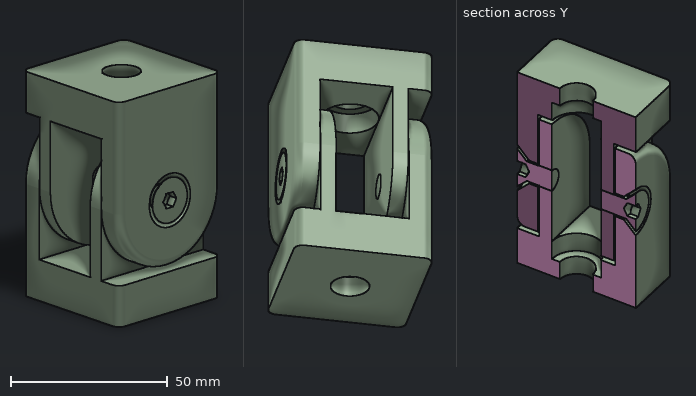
import cadquery as cq
import math

height = 76.0
width = 45.0
half_width = width / 2
half_height = height / 2
corner_radius = 3.0

base_thickness = 14.0
outer_arm_thickness = 8.0
arm_gap = 0.2
inner_arm_thickness = 5.0
inner_arm_outer_x = half_width - outer_arm_thickness - arm_gap
inner_arm_inner_x = inner_arm_outer_x - inner_arm_thickness

mount_hole_diameter = 12.5
mount_counterbore_diameter = 18.5
mount_counterbore_depth = base_thickness / 2

screw_diameter = 8.0
clearance_diameter = 9.0
countersink_diameter = 18.0
countersink_depth = (countersink_diameter - clearance_diameter) / 2
head_diameter = 15.3
head_depth = (head_diameter - screw_diameter) / 2
socket_across_flats = 5.0
socket_across_corners = socket_across_flats / math.cos(math.pi / 6)
socket_depth = 3.0
socket_tip_depth = 1.5


def arm(start_x, thickness):
    """Round-topped plate, centred on the hinge axis and reaching down to the yoke bottom."""
    return (
        cq.Workplane("YZ", origin=(start_x, 0, 0))
        .moveTo(-half_width, -half_height)
        .lineTo(-half_width, 0)
        .threePointArc((0, half_width), (half_width, 0))
        .lineTo(half_width, -half_height)
        .close()
        .extrude(thickness)
    )


def outer_arm():
    """Arm on the -X side with its outside edges rounded, except along the bottom."""
    blank = arm(-half_width, outer_arm_thickness)
    return blank.faces("<X").edges("not <Z").fillet(corner_radius)


def base():
    """Square block with rounded vertical edges."""
    return (
        cq.Workplane("XY", origin=(0, 0, -half_height))
        .rect(width, width)
        .extrude(base_thickness)
        .edges("|Z")
        .fillet(corner_radius)
    )


def inner_arm():
    """Plain arm on the +X side, inset to run beside the other yoke's outer arm."""
    return arm(inner_arm_inner_x, inner_arm_thickness)


def cylinder_x(start_x, diameter, length):
    """Cylinder along the hinge axis."""
    return cq.Workplane("YZ", origin=(start_x, 0, 0)).circle(diameter / 2).extrude(length)


def cone_x(start_x, start_diameter, end_diameter, length):
    """Cone along the hinge axis, running toward +X; an end diameter of zero gives a point."""
    return cq.Workplane(
        cq.Solid.makeCone(
            start_diameter / 2, end_diameter / 2, length,
            pnt=cq.Vector(start_x, 0, 0), dir=cq.Vector(1, 0, 0),
        )
    )


def cut_mounting_hole(body):
    """Cut the stepped hole through the base, along Z."""
    hole = (
        cq.Workplane("XY", origin=(0, 0, -half_height))
        .circle(mount_hole_diameter / 2)
        .extrude(base_thickness)
    )
    counterbore = (
        cq.Workplane("XY", origin=(0, 0, base_thickness - half_height))
        .circle(mount_counterbore_diameter / 2)
        .extrude(-mount_counterbore_depth)
    )
    return body.cut(hole).cut(counterbore)


def cut_screw_holes(body):
    """Countersunk clearance hole in the outer arm, close-fitting hole in the inner arm."""
    clearance = cylinder_x(-half_width, clearance_diameter, outer_arm_thickness)
    countersink = cone_x(-half_width, countersink_diameter, clearance_diameter, countersink_depth)
    screw_seat = cylinder_x(inner_arm_inner_x, screw_diameter, inner_arm_thickness)
    return body.cut(clearance).cut(countersink).cut(screw_seat)


def make_yoke():
    """Lower yoke, with its outer arm on the -X side."""
    body = base().union(outer_arm()).union(inner_arm())
    return cut_screw_holes(cut_mounting_hole(body))


def hex_prism(length):
    """Hexagonal prism along the hinge axis, starting at the -X face."""
    return (
        cq.Workplane("YZ", origin=(-half_width, 0, 0))
        .polygon(6, socket_across_corners)
        .extrude(length)
    )


def make_screw():
    """Countersunk screw from the -X face to the far side of the inner arm, with a cone-ended hex socket."""
    shank = cylinder_x(-half_width, screw_diameter, half_width - inner_arm_inner_x)
    head = cone_x(-half_width, head_diameter, screw_diameter, head_depth)
    socket_end = cone_x(socket_depth - half_width, socket_across_corners, 0, socket_tip_depth)
    socket = hex_prism(socket_depth).union(hex_prism(socket_depth + socket_tip_depth).intersect(socket_end))
    return shank.union(head).cut(socket)


yoke = make_yoke()
screw = make_screw()
bodies = []
for turn in (0, 180):
    for body in (yoke, screw):
        bodies.append(body.rotate((0, 0, 0), (0, 1, 0), turn).val())

result = cq.Compound.makeCompound(bodies)